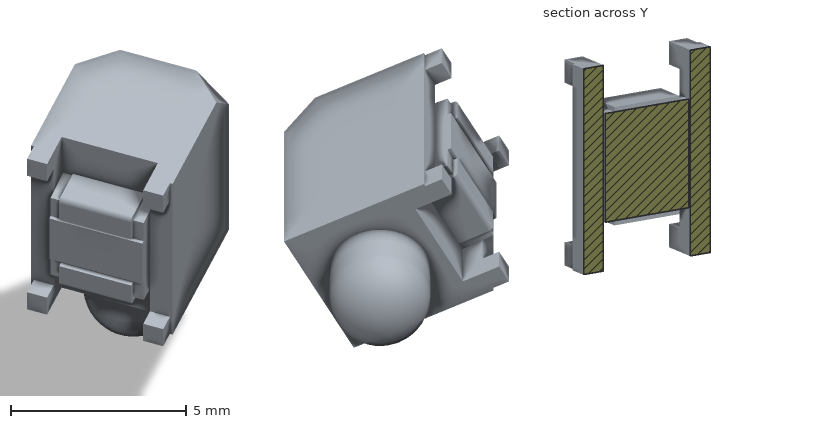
import cadquery as cq


housing_width = 4.32
overall_depth = 5.03
overall_height = 8.76
corner_cut = 1.0

lens_radius = 1.44
lens_barrel_length = 1.22
lens_axis_from_back = 1.96
housing_height = overall_height - lens_barrel_length - lens_radius
mid_height = housing_height / 2

channel_width = 2.935
channel_depth = 1.165
feet_span = 4.15
foot_height = 0.69
foot_length = 0.53

block_width = 2.84
block_height = 3.23
block_front = 0.16
block_taper = 0.06
block_taper_start = 0.95
pad_height = 1.64
pad_front = 0.05

terminal_width = 2.2
terminal_span = 3.5
terminal_thickness = 0.15
terminal_lip_height = 0.81
terminal_bend_radius = 0.15
terminal_back = 1.1


def box(x_range, y_range, z_range):
    """Axis-aligned box given by its (low, high) limits."""
    limits = (x_range, y_range, z_range)
    sizes = [high - low for low, high in limits]
    corner = tuple(low for low, high in limits)
    return cq.Workplane("XY").box(*sizes, centered=False).translate(corner)


def centred(width):
    return (-width / 2, width / 2)


def extrude_side_profile(points, width):
    """Closed (depth, height) outline extruded symmetrically along X."""
    return cq.Workplane("YZ").polyline(points).close().extrude(width / 2, both=True)


def make_corner_cutter(side):
    """Tetrahedron that trims one upper back corner of the housing."""
    corner_x = side * housing_width / 2
    corner = cq.Vector(corner_x, overall_depth, housing_height)
    along_x = corner - cq.Vector(side * corner_cut, 0, 0)
    along_y = corner - cq.Vector(0, corner_cut, 0)
    along_z = corner - cq.Vector(0, 0, corner_cut)
    triangles = (
        (corner, along_x, along_y),
        (corner, along_y, along_z),
        (corner, along_z, along_x),
        (along_x, along_y, along_z),
    )
    faces = [cq.Face.makeFromWires(cq.Wire.makePolygon(t, close=True)) for t in triangles]
    return cq.Workplane(obj=cq.Solid.makeSolid(cq.Shell.makeShell(faces)))


def make_housing():
    body = box(centred(housing_width), (foot_length, overall_depth), (0, housing_height))
    for foot_bottom in (0, housing_height - foot_height):
        foot_bar = box(centred(feet_span), (0, foot_length), (foot_bottom, foot_bottom + foot_height))
        body = body.union(foot_bar)
    body = body.cut(box(centred(channel_width), (0, channel_depth), (0, housing_height)))
    for side in (-1, 1):
        body = body.cut(make_corner_cutter(side))
    return body


def make_lens():
    axis_y = overall_depth - lens_axis_from_back
    barrel = cq.Workplane("XY").circle(lens_radius).extrude(-lens_barrel_length)
    dome = cq.Workplane("XY").sphere(lens_radius).translate((0, 0, -lens_barrel_length))
    return barrel.union(dome).translate((0, axis_y, 0))


def make_block():
    half_height = block_height / 2
    tapered_half = half_height - block_taper
    profile = [
        (channel_depth, mid_height - half_height),
        (block_taper_start, mid_height - half_height),
        (block_front, mid_height - tapered_half),
        (block_front, mid_height + tapered_half),
        (block_taper_start, mid_height + half_height),
        (channel_depth, mid_height + half_height),
    ]
    pad_z = (mid_height - pad_height / 2, mid_height + pad_height / 2)
    pad = box(centred(block_width), (pad_front, block_front), pad_z)
    return extrude_side_profile(profile, block_width).union(pad)


def make_upper_terminal():
    """L-shaped strip: a leg over the block end and a lip down its front."""
    top = mid_height + terminal_span / 2
    profile = [
        (0, top),
        (terminal_back, top),
        (terminal_back, top - terminal_thickness),
        (terminal_thickness, top - terminal_thickness),
        (terminal_thickness, top - terminal_lip_height),
        (0, top - terminal_lip_height),
    ]
    strip = extrude_side_profile(profile, terminal_width)
    return strip.faces("<Y").edges(">Z").fillet(terminal_bend_radius)


upper_terminal = make_upper_terminal()
lower_terminal = upper_terminal.mirror("XY", (0, 0, mid_height))

result = make_housing().union(make_lens()).union(make_block())
for terminal in (upper_terminal, lower_terminal):
    result = result.union(terminal)